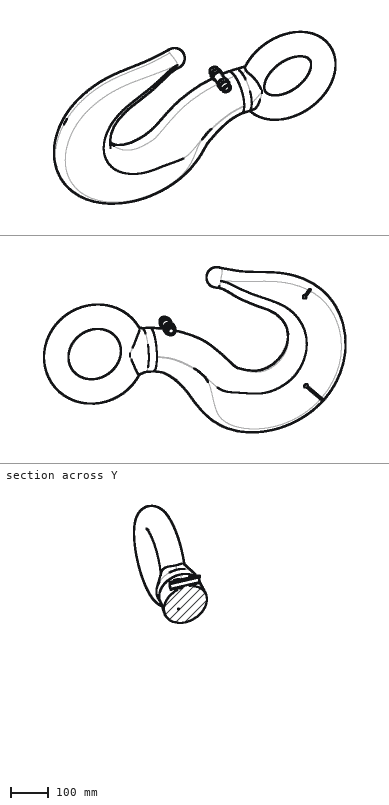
import cadquery as cq
import math

BOWL_RADIUS = 88.0

EYE_CENTRE_Y = 440.5
EYE_OUTER_RADIUS = 137.5
EYE_TUBE_RADIUS = 32.7

NECK_RADIUS = 58.5
NECK_START_Y = 285.0
NECK_END_Y = 307.0
FLARE_END_Y = 351.0
FLARE_HALF_HEIGHT = 79.0
FLARE_HALF_WIDTH = 29.0

TIP_RADIUS = 27.5
TIP_CENTRE = (108.0, 188.0)
TIP_ROOT_RADIUS = 27.0
TIP_TILT = 64.0

SHANK_STATIONS = [
    ((267, 55.5), (270, -61), 59.5),
    ((240, 50.5), (257, -65), 61),
    ((173, 28), (219, -93), 64),
    ((120, -5), (190, -126), 66.5),
]
BOWL_STATIONS = [
    (137, 231, 67.8, 62, 65, 48),
    (120, 244, 62, 43, 48, 25),
    (90, 253.5, 56, 33, 40, 18),
    (45, 254.5, 53.5, 28, 38, 17),
    (20, 249.2, 52.5, 27, 37, 17),
    (0, 241.1, 52, 26, 37, 17),
    (-30, 224.5, 50, 25, 37, 17),
]
POINT_STATIONS = [
    ((-44, 78), (-110, 172), 47, 25, 37, 17),
    ((8, 104), (-26, 190), 41, 25, 35, 16),
    ((62, 134), (40, 198), 32.5, 26, 30, 19),
]
SHORTEST_SIDE = 2.0

PIN_Y = 242.0
PIN_Z = 62.5
PIN_LENGTH = 82.0
PIN_RADIUS = 12.0
PIN_BORE_RADIUS = 7.5
COLLAR_RADIUS = 14.8
COLLAR_WIDTH = 12.0
COLLAR_OFFSET = 21.5

BUTTON_RADIUS = 5.0
RIB_WIDTH = 4.0
MARK_HEIGHT = 0.8
MARK_ROOT = 6.0
GAUGE_MARKS = [
    ((-124, 125, 31.7), (-142, 143), 17.5),
    ((-125, -122, 42.3), (-174, -171), 13.4),
]


def section(inner, outer, inner_half, outer_half, inner_depth, outer_depth):
    """Wire across the hook from its inner point to its outer point, both (y, z).

    Each end is half an ellipse with the given half width and depth. Straight sides join the ends.
    """
    length = math.dist(inner, outer)
    outward = cq.Vector(0, (outer[0] - inner[0]) / length, (outer[1] - inner[1]) / length)
    across = cq.Vector(1, 0, 0)
    plane = cq.Plane(origin=(0, *inner), xDir=outward, normal=outward.cross(across))

    outer_start = length - outer_depth

    def end_quarter(centre_u, depth, half, start_angle):
        return cq.Edge.makeEllipse(
            depth,
            half,
            cq.Vector(centre_u, 0, 0),
            angle1=start_angle,
            angle2=start_angle + 90,
        )

    def side(start, end):
        return cq.Edge.makeLine(cq.Vector(*start), cq.Vector(*end))

    edges = [
        end_quarter(outer_start, outer_depth, outer_half, 0),
        side((outer_start, outer_half), (inner_depth, inner_half)),
        end_quarter(inner_depth, inner_depth, inner_half, 90),
        end_quarter(inner_depth, inner_depth, inner_half, 180),
        side((inner_depth, -inner_half), (outer_start, -outer_half)),
        end_quarter(outer_start, outer_depth, outer_half, 270),
    ]
    return cq.Wire.assembleEdges(edges).moved(cq.Location(plane))


def round_section(inner, outer, half_width):
    """Nearly elliptical section with both ends half as deep as the section."""
    depth = (math.dist(inner, outer) - SHORTEST_SIDE) / 2
    return section(inner, outer, half_width, half_width, depth, depth)


def bowl_section(angle, outer_radius, inner_half, outer_half, inner_depth, outer_depth):
    """Section along a ray from the bowl centre, angle in degrees from -Y towards -Z."""
    ray_y = -math.cos(math.radians(angle))
    ray_z = -math.sin(math.radians(angle))
    inner = (BOWL_RADIUS * ray_y, BOWL_RADIUS * ray_z)
    outer = (outer_radius * ray_y, outer_radius * ray_z)
    return section(inner, outer, inner_half, outer_half, inner_depth, outer_depth)


def make_hook():
    """Smooth body through all the cross sections, ending in a ball at the tip."""
    tilt = math.radians(TIP_TILT)
    tip_y, tip_z = TIP_CENTRE
    reach_y = TIP_ROOT_RADIUS * math.cos(tilt)
    reach_z = TIP_ROOT_RADIUS * math.sin(tilt)
    tip_inner = (tip_y + reach_y, tip_z - reach_z)
    tip_outer = (tip_y - reach_y, tip_z + reach_z)
    neck_inner = (NECK_START_Y, NECK_RADIUS)
    neck_outer = (NECK_START_Y, -NECK_RADIUS)

    sections = [round_section(neck_inner, neck_outer, NECK_RADIUS)]
    for station in SHANK_STATIONS:
        sections.append(round_section(*station))
    for station in BOWL_STATIONS:
        sections.append(bowl_section(*station))
    for station in POINT_STATIONS:
        sections.append(section(*station))
    sections.append(round_section(tip_inner, tip_outer, TIP_ROOT_RADIUS))

    hook = cq.Workplane(cq.Solid.makeLoft(sections))
    tip = cq.Workplane().sphere(TIP_RADIUS).translate((0, tip_y, tip_z))
    return hook.union(tip)


def make_eye():
    """Ring of round bar lying in the YZ plane."""
    ring_radius = EYE_OUTER_RADIUS - EYE_TUBE_RADIUS
    ring = cq.Solid.makeTorus(
        ring_radius,
        EYE_TUBE_RADIUS,
        cq.Vector(0, EYE_CENTRE_Y, 0),
        cq.Vector(1, 0, 0),
    )
    return cq.Workplane(ring)


def make_neck():
    """Straight collar on the shank, then the flare that blends it into the eye."""
    start = cq.Workplane("XZ", origin=(0, NECK_START_Y, 0))
    collar = start.circle(NECK_RADIUS).extrude(NECK_START_Y - NECK_END_Y)
    flare = (
        cq.Workplane("XZ", origin=(0, NECK_END_Y, 0))
        .circle(NECK_RADIUS)
        .workplane(offset=NECK_END_Y - FLARE_END_Y)
        .ellipse(FLARE_HALF_WIDTH, FLARE_HALF_HEIGHT)
        .loft(ruled=True)
    )
    return collar.union(flare)


def make_pin():
    """Hollow latch pin along X with two collars, resting on the shank."""

    def rod(radius, length, centre_x):
        start = cq.Workplane("YZ", origin=(centre_x - length / 2, PIN_Y, PIN_Z))
        return start.circle(radius).extrude(length)

    pin = rod(PIN_RADIUS, PIN_LENGTH, 0)
    for side in (-1, 1):
        pin = pin.union(rod(COLLAR_RADIUS, COLLAR_WIDTH, side * COLLAR_OFFSET))
    return pin.cut(rod(PIN_BORE_RADIUS, PIN_LENGTH, 0))


def make_gauge_mark(button, rib_end, side_taper):
    """Raised button and rib on the -X face, used to gauge the throat opening.

    button is (y, z, half thickness there), rib_end is (y, z), side_taper is in degrees.
    """
    button_y, button_z, face_x = button
    rib_y = rib_end[0] - button_y
    rib_z = rib_end[1] - button_z
    rib_length = math.hypot(rib_y, rib_z)
    rise = math.tan(math.radians(side_taper))
    along = cq.Vector(rise, rib_y / rib_length, rib_z / rib_length)
    normal = cq.Vector(-1, rise * rib_y / rib_length, rise * rib_z / rib_length)
    surface = cq.Plane(origin=(-face_x, button_y, button_z), xDir=along, normal=normal)
    start = cq.Workplane(surface).workplane(offset=-MARK_ROOT)
    disc = start.circle(BUTTON_RADIUS).extrude(MARK_ROOT + MARK_HEIGHT)
    rib = (
        start.center(rib_length / 2, 0)
        .rect(rib_length, RIB_WIDTH)
        .extrude(MARK_ROOT + MARK_HEIGHT)
    )
    return disc.union(rib)


result = make_hook().union(make_neck()).union(make_eye()).union(make_pin())
for button, rib_end, side_taper in GAUGE_MARKS:
    result = result.union(make_gauge_mark(button, rib_end, side_taper))